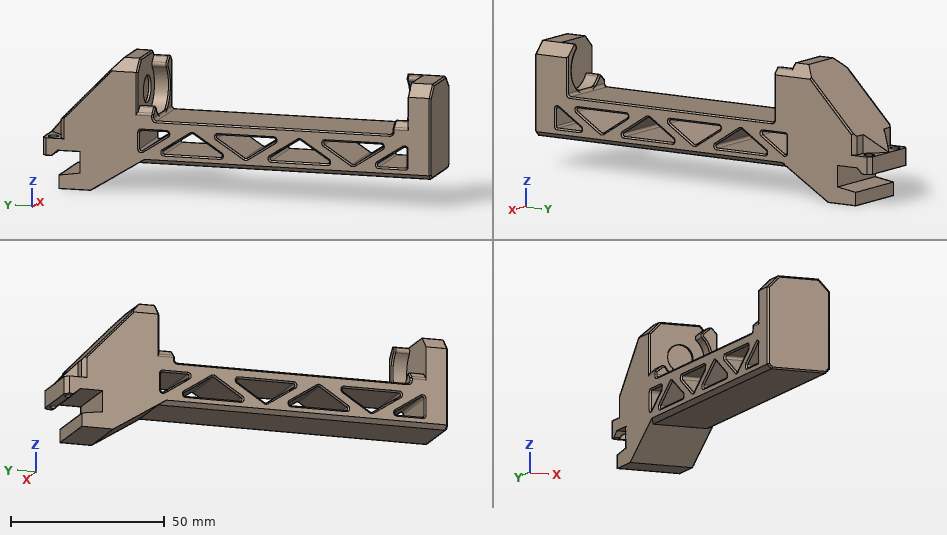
import cadquery as cq
import math


length = 131.8
width = 22.0
half_width = width / 2
head_top = 44.0
front_top = 41.0
edge_chamfer = 0.5
flare_angle = 45.0
overcut = 1.3
tolerance = 0.01

beam_bottom = 9.9
beam_top = 24.2
beam_bottom_chamfer = 1.5
top_chamfer = 4.0
front_wall = 7.6
head_wall_y = 99.3
seat_depth = 5.3
front_seat_y = front_wall + seat_depth
head_seat_y = head_wall_y - seat_depth
seat_fillet = 1.0

seat_centre_z = 32.5
seat_radius = 8.4
opening_offset = 2.4
opening_angle = 40.0
opening_size = 52.7
horn_fillet = 1.0
recess_diameter = 9.0
recess_depth = 0.8

tip_z = 16.6
slope_top_y = 105.0
lip_bottom = 10.8
lip_thickness = 3.2
slot_top = 12.6
slot_lead = 2.0
slot_floor_y = 119.0
slot_bottom_inner = 5.5
slot_bottom_outer = 4.5
jaw_end_y = 126.1
jaw_start_y = 115.3
tip_chamfer = 1.3
lug_depth = 6.0
lug_corner = 1.3
screw_diameter = 3.3
screw_spacing = 14.9
screw_from_tip = 2.8

window_bottom = 13.3
window_top = 20.8
window_slope = 32.8
window_fillet = 0.7
window_pitch = 18.2
first_apex_y = 99.1
window_count = 6


def across(points):
    """Solid across the full width with the given (Y, Z) outline."""
    return cq.Workplane("YZ").polyline(points).close().extrude(half_width, both=True)


def edges_where(solid, test):
    """Workplane holding the edges whose centre point passes the test."""
    return solid.edges().filter(lambda edge: test(edge.Center()))


def near(value, target):
    return abs(value - target) < tolerance


def on_side(point):
    return near(abs(point.x), half_width)


def make_body():
    """Side outline with filleted corners where the beam meets the seats."""
    body = across([
        (0, beam_bottom),
        (head_wall_y, beam_bottom),
        (jaw_start_y, 0),
        (jaw_end_y, 0),
        (jaw_end_y, slot_bottom_outer),
        (slot_floor_y, slot_bottom_inner),
        (slot_floor_y, slot_top),
        (length - lip_thickness - slot_lead, slot_top),
        (length - lip_thickness, lip_bottom),
        (length, lip_bottom),
        (length, tip_z),
        (slope_top_y, head_top),
        (head_seat_y, head_top),
        (head_seat_y, beam_top),
        (front_seat_y, beam_top),
        (front_seat_y, front_top),
        (0, front_top),
    ])
    inner_corners = edges_where(
        body, lambda p: near(p.z, beam_top) and (near(p.y, head_seat_y) or near(p.y, front_seat_y)))
    return inner_corners.fillet(seat_fillet)


def top_corner_cuts(top, start_y, end_y):
    """Prisms that bevel both upper long edges of an end block."""
    reach = top_chamfer + overcut
    corner = [
        (half_width + overcut, top - reach),
        (half_width + overcut, top + overcut),
        (half_width - reach, top + overcut),
    ]
    prism = cq.Workplane("XZ", origin=(0, start_y, 0)).polyline(corner).close().extrude(start_y - end_y)
    return prism.union(prism.mirror("YZ"))


def bevel_outline(body):
    """Bevel the top corners, slope, beam underside, front face and tip."""
    body = body.cut(top_corner_cuts(front_top, -overcut, front_seat_y + overcut))
    body = body.cut(top_corner_cuts(head_top, head_seat_y - overcut, length))

    def on_slope(p):
        slope_y = length + (slope_top_y - length) * (p.z - tip_z) / (head_top - tip_z)
        return on_side(p) and tip_z < p.z and near(p.y, slope_y)

    body = edges_where(body, on_slope).chamfer(edge_chamfer)
    body = edges_where(body, lambda p: on_side(p) and near(p.z, beam_bottom)).chamfer(beam_bottom_chamfer)
    body = body.faces("<Y").edges().chamfer(edge_chamfer)
    return edges_where(body, lambda p: on_side(p) and near(p.y, length)).chamfer(tip_chamfer)


def bevel_bay(body):
    """Bevel the outline of the bay between the two seats."""
    def on_bay(p):
        on_block = near(p.y, front_seat_y) or near(p.y, head_seat_y)
        on_beam = near(p.z, beam_top) and front_seat_y < p.y < head_seat_y
        return on_side(p) and (on_block or on_beam)
    return edges_where(body, on_bay).chamfer(edge_chamfer)


def seat_cutter():
    """Seat void running along +Y from its mouth at Y = 0, flared at the mouth."""
    angle = math.radians(opening_angle)
    opening = (
        cq.Workplane("XZ")
        .center(-opening_offset * math.sin(angle), seat_centre_z + opening_offset * math.cos(angle))
        .transformed(rotate=(0, 0, opening_angle))
        .center(0, opening_size / 2)
        .rect(opening_size, opening_size)
        .extrude(-seat_depth)
    )
    bore = cq.Workplane("XZ").center(0, seat_centre_z).circle(seat_radius).extrude(-seat_depth)
    cutter = bore.union(opening)
    horn_edges = cutter.edges("|Y").filter(
        lambda e: near(math.hypot(e.Center().x, e.Center().z - seat_centre_z), seat_radius))
    cutter = horn_edges.fillet(horn_fillet)
    mouth = cutter.faces("<Y").wires().toPending().offset2D(edge_chamfer)
    flare = mouth.extrude(-edge_chamfer, combine=False, taper=flare_angle)
    return cutter.union(flare)


def height_over_centre(point):
    """Distance of a point above the seat axis, square to the opening."""
    angle = math.radians(opening_angle)
    return (point.z - seat_centre_z) * math.cos(angle) - point.x * math.sin(angle)


def cut_seats(body):
    """Cut both seats, bevel the rim of the head seat floor and round the horn ridges."""
    cutter = seat_cutter()
    body = body.cut(cutter.translate((0, head_seat_y, 0)))
    body = body.cut(cutter.mirror("XZ").translate((0, front_seat_y, 0)))

    def on_floor_outline(p):
        return near(p.y, head_wall_y) and height_over_centre(p) > opening_offset + tolerance

    body = edges_where(body, on_floor_outline).chamfer(edge_chamfer)
    horn_ridges = body.edges("|Y").filter(
        lambda edge: near(height_over_centre(edge.Center()), opening_offset)
        and edge.Length() < seat_depth
        and (on_side(edge.Center()) or edge.Center().z > front_top - tolerance))
    return horn_ridges.fillet(horn_fillet)


def cut_recess(body):
    """Shallow round recess in the floor of the head seat."""
    recess = (
        cq.Workplane("XZ", origin=(0, head_wall_y, seat_centre_z))
        .circle(recess_diameter / 2)
        .extrude(-recess_depth)
    )
    return body.cut(recess)


def window_flares(window):
    """Flared mouths of a window on both sides of the beam."""
    mouth = window.faces(">X").wires().toPending().offset2D(edge_chamfer)
    flare = mouth.extrude(-edge_chamfer, combine=False, taper=flare_angle)
    return flare.union(flare.mirror("YZ"))


def cut_windows(body):
    """Row of triangular windows, alternately pointing down and up."""
    height = window_top - window_bottom
    half_base = height / math.tan(math.radians(window_slope))
    bay_end_y = head_wall_y - edge_chamfer
    bay_start_y = front_wall + edge_chamfer
    bay = across([
        (bay_start_y, window_bottom),
        (bay_end_y, window_bottom),
        (bay_end_y, window_top),
        (bay_start_y, window_top),
    ])
    for index in range(window_count):
        apex_y = first_apex_y - index * window_pitch
        points_down = index % 2 == 0
        apex_z = window_bottom if points_down else window_top
        base_z = window_top if points_down else window_bottom
        triangle = across([
            (apex_y, apex_z),
            (apex_y - half_base, base_z),
            (apex_y + half_base, base_z),
        ])
        window = triangle.intersect(bay).edges("|X").fillet(window_fillet)
        body = body.cut(window).cut(window_flares(window))
    return body


def cut_lugs(body):
    """Flat screw lugs either side of the wedge that runs out to the tip."""
    wall_y = length - lug_depth
    outer = half_width + overcut
    lug = (
        cq.Workplane("XY", origin=(0, 0, tip_z))
        .polyline([
            (0, length),
            (lug_depth, wall_y),
            (half_width - lug_corner, wall_y),
            (outer, wall_y - lug_corner - overcut),
            (outer, length),
        ])
        .close()
        .extrude(head_top - tip_z)
    )
    screws = (
        cq.Workplane("XY", origin=(0, length - screw_from_tip, 0))
        .rarray(screw_spacing, 1.3, 2, 1)
        .circle(screw_diameter / 2)
        .extrude(tip_z)
    )
    return body.cut(lug).cut(lug.mirror("YZ")).cut(screws)


result = bevel_bay(bevel_outline(make_body()))
result = cut_seats(result)
result = cut_recess(result)
result = cut_windows(result)
result = cut_lugs(result)